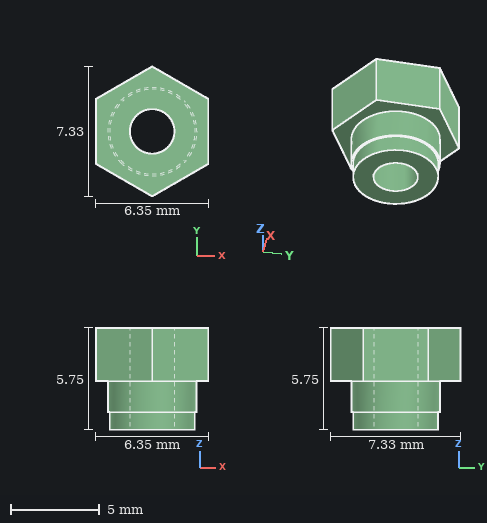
import cadquery as cq

head_across_corners = 7.33
head_height = 3.0

shank_diameter = 5.0
shank_height = 1.75
pilot_diameter = 4.8
pilot_height = 1.0

bore_diameter = 2.5

pilot = cq.Workplane("XY").circle(pilot_diameter / 2).extrude(pilot_height)
shank = pilot.faces(">Z").workplane().circle(shank_diameter / 2).extrude(shank_height)
head = (
    shank.faces(">Z")
    .workplane()
    .transformed(rotate=(0, 0, 90))
    .polygon(6, head_across_corners)
    .extrude(head_height)
)

result = head.faces(">Z").workplane().hole(bore_diameter)